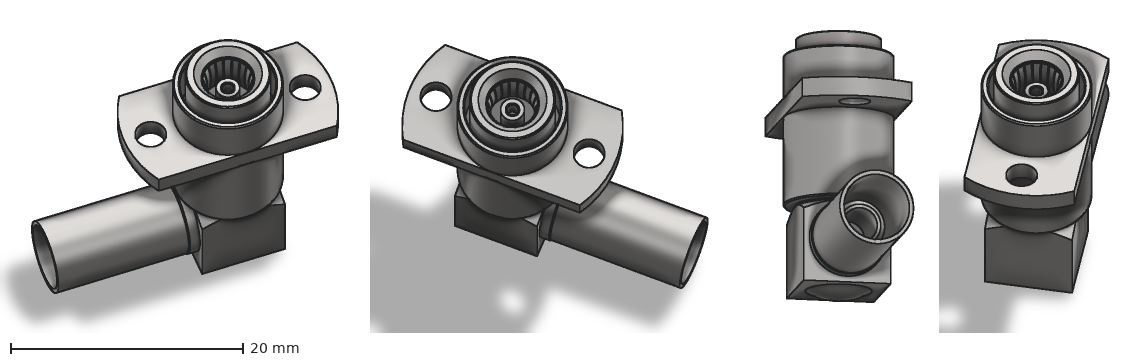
import cadquery as cq
import math


overall_length = 26.3

block_width = 7.62
block_half = block_width / 2
block_top = 3.47
block_corner_slope = 30.0
neck_radius = 3.7

cap_radius = 2.87
cap_height = 0.75

sleeve_radius = 4.75
sleeve_bore_radius = 4.13
sleeve_bottom = 3.63
sleeve_top = 16.85
sleeve_chamfer = 0.13
shell_radius = 3.68
shell_top = 18.32
shell_chamfer = 0.13
shell_chamfer_height = 0.08

mouth_radius = 2.95
socket_radius = 2.3
mouth_depth = mouth_radius - socket_radius
socket_depth = 4.2
socket_lip = 0.18
finger_top_depth = mouth_depth + socket_lip
finger_end_radius = 2.15
finger_waist_radius = 1.9
finger_count = 18
slot_width = 0.13

contact_radius = 1.03
contact_tip_depth = 2.02
contact_counterbore_radius = 0.6
contact_counterbore_depth = 0.1
contact_bore_radius = 0.47
contact_bore_depth = 1.58

flange_width = 9.6
flange_end_radius = 9.5
flange_bottom = 11.35
flange_thickness = 1.63
flange_top = flange_bottom + flange_thickness
flange_hole_radius = 1.35
flange_hole_offset = 7.1

collar_radius = 3.3
collar_length = 0.9
collar_end = block_half + collar_length
tube_radius = 3.23
tube_bore_radius = 2.87
tube_end = overall_length - flange_end_radius
tube_chamfer = 0.13
post_radius = 2.23
post_tip_radius = 1.81
post_bore_radius = 1.5
post_end = 9.46
post_taper_length = post_radius - post_tip_radius


def revolve_about_z(points):
    """Revolve a closed (radius, height) outline about the Z axis."""
    return cq.Workplane("XZ").polyline(points).close().revolve(360, (0, 0), (0, 1))


def revolve_about_cable_axis(points):
    """Revolve a closed (radius, distance toward -Y) outline about the Y axis."""
    outline = [(radius, -distance) for radius, distance in points]
    return cq.Workplane("XY").polyline(outline).close().revolve(360, (0, 0), (0, 1))


def make_block():
    block = cq.Workplane("XY").box(block_width, block_width, block_half + block_top)
    block = block.translate((0, 0, (block_top - block_half) / 2))
    corner_radius = block_width
    drop = (corner_radius - block_half) * math.tan(math.radians(block_corner_slope))
    envelope = revolve_about_z([
        (0, -block_half),
        (corner_radius, -block_half),
        (corner_radius, block_top - drop),
        (block_half, block_top),
        (0, block_top),
    ])
    neck = cq.Workplane("XY").circle(neck_radius).extrude(sleeve_bottom)
    return block.intersect(envelope).union(neck)


def make_cap():
    dome_radius = (cap_radius**2 + cap_height**2) / (2 * cap_height)
    center_z = dome_radius - cap_height - block_half
    dome = cq.Workplane("XY").sphere(dome_radius).translate((0, 0, center_z))
    keep = cq.Workplane("XY").circle(cap_radius).extrude(-block_half - cap_height)
    return dome.intersect(keep)


def make_shell():
    """Sleeve, annular groove and inner shell, without the socket."""
    return revolve_about_z([
        (0, sleeve_bottom),
        (sleeve_radius - sleeve_chamfer, sleeve_bottom),
        (sleeve_radius, sleeve_bottom + sleeve_chamfer),
        (sleeve_radius, sleeve_top - sleeve_chamfer),
        (sleeve_radius - sleeve_chamfer, sleeve_top),
        (sleeve_bore_radius + sleeve_chamfer, sleeve_top),
        (sleeve_bore_radius, sleeve_top - sleeve_chamfer),
        (sleeve_bore_radius, flange_top),
        (shell_radius, flange_top),
        (shell_radius, shell_top - shell_chamfer_height),
        (shell_radius - shell_chamfer, shell_top),
        (0, shell_top),
    ])


def make_socket():
    """Space inside the shell: mouth, slotted ring of fingers, centre contact."""
    floor = shell_top - socket_depth
    finger_top = shell_top - finger_top_depth
    finger_middle = (floor + finger_top) / 2
    socket = (
        cq.Workplane("XZ")
        .moveTo(0, floor)
        .lineTo(finger_end_radius, floor)
        .threePointArc((finger_waist_radius, finger_middle), (finger_end_radius, finger_top))
        .lineTo(socket_radius, finger_top)
        .lineTo(socket_radius, shell_top - mouth_depth)
        .lineTo(mouth_radius, shell_top)
        .lineTo(0, shell_top)
        .close()
        .revolve(360, (0, 0), (0, 1))
    )
    slots = (
        cq.Workplane("XY", origin=(0, 0, floor))
        .polarArray(socket_radius / 2, 90, 360, finger_count)
        .rect(socket_radius, slot_width)
        .extrude(finger_top - floor)
    )
    ring_limit = cq.Workplane("XY").circle(socket_radius).extrude(shell_top)
    socket = socket.union(slots.intersect(ring_limit))

    tip = shell_top - contact_tip_depth
    contact = revolve_about_z([
        (0, floor),
        (contact_radius, floor),
        (contact_radius, tip),
        (contact_counterbore_radius, tip),
        (contact_counterbore_radius, tip - contact_counterbore_depth),
        (contact_bore_radius, tip - contact_counterbore_depth),
        (contact_bore_radius, tip - contact_bore_depth),
        (0, tip - contact_bore_depth),
    ])
    return socket.cut(contact)


def make_flange():
    disc = (
        cq.Workplane("XY", origin=(0, 0, flange_bottom))
        .circle(flange_end_radius)
        .extrude(flange_thickness)
    )
    flat_sides = (
        cq.Workplane("XY", origin=(0, 0, flange_bottom))
        .rect(flange_width, 2 * flange_end_radius)
        .extrude(flange_thickness)
    )
    holes = (
        cq.Workplane("XY", origin=(0, 0, flange_bottom))
        .pushPoints([(0, -flange_hole_offset), (0, flange_hole_offset)])
        .circle(flange_hole_radius)
        .extrude(flange_thickness)
    )
    return disc.intersect(flat_sides).cut(holes)


def make_cable_entry():
    """Collar and crimp tube with a hollow post standing inside the tube."""
    return revolve_about_cable_axis([
        (0, 0),
        (collar_radius, 0),
        (collar_radius, collar_end),
        (tube_radius - tube_chamfer, collar_end),
        (tube_radius, collar_end + tube_chamfer),
        (tube_radius, tube_end),
        (tube_bore_radius, tube_end),
        (tube_bore_radius, collar_end),
        (post_radius, collar_end),
        (post_radius, post_end - post_taper_length),
        (post_tip_radius, post_end),
        (post_bore_radius, post_end),
        (post_bore_radius, block_half),
        (0, block_half),
    ])


body = make_block().union(make_cap()).union(make_shell()).union(make_flange())
result = body.union(make_cable_entry()).cut(make_socket())